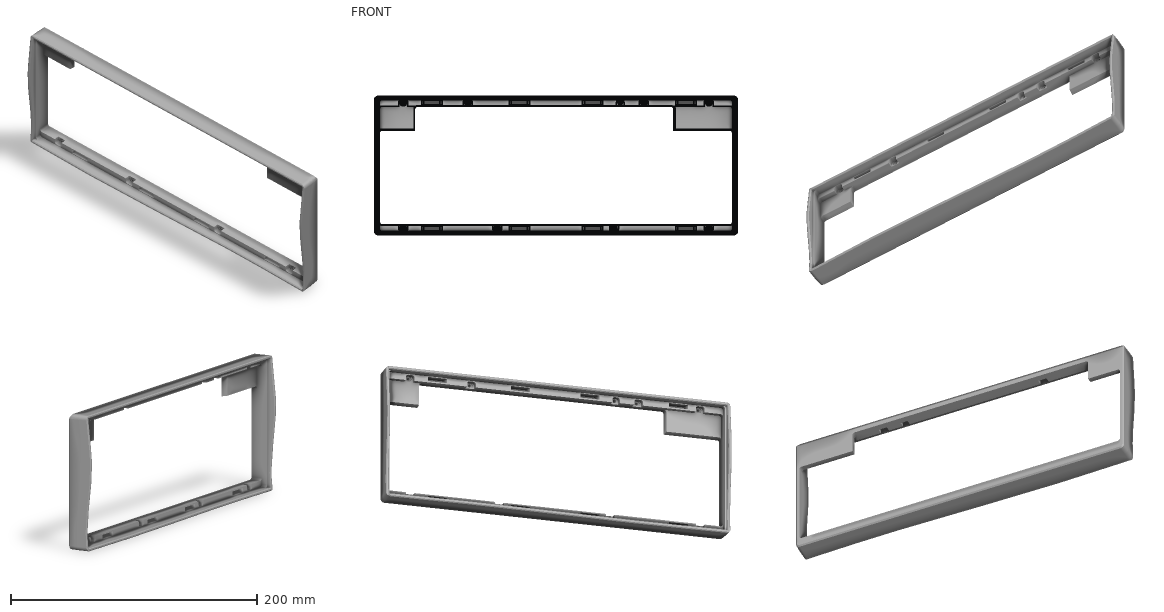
import cadquery as cq
import math

WIDTH = 294.7
HEIGHT = 112.3
DEPTH = 21.5
CORNER_RADIUS = 3.5
HALF_WIDTH = WIDTH / 2
MARGIN = 3.0

SIDE_WALL = 3.8
BAR_WALL = 2.7
FLANGE_DEPTH = 9.7
FLANGE_RISE = 5.3
OPENING_INSET = BAR_WALL + FLANGE_RISE
INNER_RADIUS = 2.0

LIP_START = 14.7
SIDE_LIP = 2.5

TOP_RIM_DEPTH = 17.7
RIM_MEAN_DEPTH = 18.42
RIM_WAVE = 1.2
SIDE_PEAK_Z = 70.7
SIDE_FLANK_DEPTH = 19.6
SIDE_UPPER_FLANK_Z = 93.7
SIDE_LOWER_FLANK_Z = 45.0
SIDE_DIP_Z = 20.5
SIDE_DIP_DEPTH = 17.5
SIDE_FOOT_DEPTH = RIM_MEAN_DEPTH
RIM_BEVEL = 0.75

DRAFT = 0.5
DRAFT_TOP_DEPTH = 9.5
DRAFT_PEAK_DEPTH = 12.0
DRAFT_PEAK_Z = 75.1
DRAFT_LOWER_DEPTH = 9.5
DRAFT_LOWER_Z = 38.3
DRAFT_FOOT_DEPTH = 8.5

BACK_BEVEL = 1.03
TOP_BEVEL_DEPTH = 2.7
TOP_BEVEL_DROP = 4.0

PLATE_THICKNESS = 5.3
PLATE_BOTTOM_Z = 85.0
LEFT_PLATE_END_X = -115.0
RIGHT_PLATE_END_X = 95.8
PLATE_DRAFT = 1.0
PLATE_FILLET = 2.0

POCKET_XS = (-100.8, -29.8, 29.8, 105.5)
POCKET_LENGTH = 16.5
POCKET_FLOOR_LENGTH = 13.0
POCKET_HEIGHT = 3.5
POCKET_DEPTH = 6.8
POCKET_OFFSET = 0.5

TOP_WIDE_NOTCH_XS = (-124.0, -71.5, 71.3, 124.0)
TOP_NARROW_NOTCH_XS = (52.2,)
BOTTOM_WIDE_NOTCH_XS = (-124.0, -47.7, 47.2, 124.0)
WIDE_NOTCH = 7.5
NARROW_NOTCH = 6.2
NOTCH_DEPTH = FLANGE_DEPTH - PLATE_THICKNESS
NOTCH_OFFSET = 0.5
NOTCH_CORNER = 2.0
SCREW_DIAMETER = 3.0
SCREW_SEAT_DIAMETER = 4.7
SCREW_SEAT_DEPTH = 1.0
SCREW_HOLE_DEPTH = 3.5
SCREW_HOLE_TAPER = 20.0
SCREW_CENTER_INSET = 5.3


def block(x_range, depth_range, z_range):
    """Box between two X values, two depths measured from the back, and two Z values."""
    size_x = x_range[1] - x_range[0]
    size_y = depth_range[1] - depth_range[0]
    size_z = z_range[1] - z_range[0]
    corner = (x_range[0], -depth_range[1], z_range[0])
    return cq.Workplane("XY").box(size_x, size_y, size_z, centered=False).translate(corner)


def inner_block(side_inset, bar_inset, depth_range):
    """Block inset from the outer frame outline, with rounded inner corners."""
    half = HALF_WIDTH - side_inset
    body = block((-half, half), depth_range, (bar_inset, HEIGHT - bar_inset))
    return body.edges("|Y").fillet(INNER_RADIUS)


def frame_shell():
    """Drafted outer frame, hollowed by the opening, the interior and the lip step."""
    outer = block((-HALF_WIDTH, HALF_WIDTH), (0, DEPTH), (0, HEIGHT))
    draft = side_draft()
    outer = outer.cut(draft).cut(draft.mirror("YZ"))
    outer = outer.faces(">Z or <Z").edges("not |X").fillet(CORNER_RADIUS)
    outer = outer.faces(">Y").edges("not >Z").chamfer(BACK_BEVEL)
    opening = inner_block(SIDE_WALL, OPENING_INSET, (-MARGIN, DEPTH))
    interior = inner_block(SIDE_WALL, BAR_WALL, (FLANGE_DEPTH, DEPTH))
    lip_x = HALF_WIDTH - SIDE_LIP
    lip_step = block((-lip_x, lip_x), (LIP_START, DEPTH), (BAR_WALL, HEIGHT - BAR_WALL))
    return outer.cut(opening).cut(interior).cut(lip_step)


def top_bevel():
    """Wedge removed along the top back edge."""
    return (
        cq.Workplane("YZ", origin=(-HALF_WIDTH, 0, 0))
        .moveTo(-TOP_BEVEL_DEPTH, HEIGHT)
        .lineTo(0, HEIGHT - TOP_BEVEL_DROP)
        .lineTo(MARGIN, HEIGHT - TOP_BEVEL_DROP)
        .lineTo(MARGIN, HEIGHT + MARGIN)
        .lineTo(-TOP_BEVEL_DEPTH, HEIGHT + MARGIN)
        .close()
        .extrude(WIDTH)
    )


def side_outline(x, setback):
    """Region in front of a side rim at one X, with the rim moved back by the setback."""
    rim = [
        (-SIDE_FLANK_DEPTH, SIDE_UPPER_FLANK_Z),
        (-DEPTH, SIDE_PEAK_Z),
        (-SIDE_FLANK_DEPTH, SIDE_LOWER_FLANK_Z),
        (-SIDE_DIP_DEPTH, SIDE_DIP_Z),
        (-SIDE_FOOT_DEPTH, 0),
    ]
    front = -DEPTH - MARGIN
    return (
        cq.Workplane("YZ", origin=(x, 0, 0))
        .moveTo(front, HEIGHT)
        .lineTo(-TOP_RIM_DEPTH + setback, HEIGHT)
        .spline(
            [(y + setback, z) for y, z in rim],
            tangents=[None, None, (0, -1), None, None, None],
            includeCurrent=True,
        )
        .lineTo(front, 0)
        .close()
        .val()
    )


def bottom_outline(z, setback):
    """Region in front of the bottom rim at one Z: one full wave along X."""
    half = HALF_WIDTH - SIDE_LIP
    front = -DEPTH - MARGIN

    def rim(t):
        x = half * (2 * t - 1)
        return (x, -RIM_MEAN_DEPTH + RIM_WAVE * math.sin(2 * math.pi * x / WIDTH) + setback)

    return (
        cq.Workplane("XY", origin=(0, 0, z))
        .parametricCurve(rim, N=24, makeWire=False)
        .moveTo(*rim(1))
        .lineTo(half, front)
        .lineTo(-half, front)
        .lineTo(*rim(0))
        .wire()
        .val()
    )


def top_outline(z, setback):
    """Region in front of the straight top rim at one Z."""
    half = HALF_WIDTH - SIDE_LIP
    center_y = (setback - TOP_RIM_DEPTH - DEPTH - MARGIN) / 2
    length_y = DEPTH + MARGIN - TOP_RIM_DEPTH + setback
    return cq.Workplane("XY", origin=(0, center_y, z)).rect(2 * half, length_y).wires().val()


def rim_trim(outline, start, thickness):
    """Space in front of a rim, bevelling both edges of a rim of the given thickness."""
    stations = (
        (start, RIM_BEVEL),
        (start + RIM_BEVEL, 0),
        (start + thickness - RIM_BEVEL, 0),
        (start + thickness, RIM_BEVEL),
    )
    sections = [outline(place, setback) for place, setback in stations]
    return cq.Workplane(cq.Solid.makeLoft(sections, True))


def side_draft():
    """Sliver outside the drafted part of the +X side face."""
    bowed_line = [
        (-DRAFT_PEAK_DEPTH, DRAFT_PEAK_Z),
        (-DRAFT_LOWER_DEPTH, DRAFT_LOWER_Z),
        (-DRAFT_FOOT_DEPTH, 0),
    ]
    return (
        cq.Workplane("YZ", origin=(HALF_WIDTH - DRAFT, 0, 0))
        .moveTo(MARGIN, HEIGHT)
        .lineTo(0, HEIGHT)
        .lineTo(0, 0)
        .lineTo(MARGIN, 0)
        .close()
        .workplane(offset=DRAFT)
        .moveTo(MARGIN, HEIGHT)
        .lineTo(-DRAFT_TOP_DEPTH, HEIGHT)
        .spline(bowed_line, includeCurrent=True)
        .lineTo(MARGIN, 0)
        .close()
        .loft(ruled=True)
    )


def corner_plate(x_range, left_draft):
    """Plate in an upper corner, with a drafted lower edge and an optional drafted left edge."""
    length = x_range[1] - x_range[0]
    rise = HEIGHT - OPENING_INSET - PLATE_BOTTOM_Z
    plate = cq.Workplane("XY").wedge(
        length, PLATE_THICKNESS, rise, left_draft, PLATE_DRAFT, length, rise, centered=False
    )
    return plate.mirror("XZ").translate((x_range[0], 0, PLATE_BOTTOM_Z))


def fillet_plate_root(body, x, z):
    """Round the inside corner where a plate meets the frame near one X and Z."""
    reach = 2 * PLATE_DRAFT
    near_root = cq.selectors.BoxSelector(
        (x - reach, -PLATE_THICKNESS, z - reach),
        (x + reach, 0, z + reach),
    )
    return body.edges(near_root).edges("not(#Y)").fillet(PLATE_FILLET)


def latch_pocket(x):
    """Pocket in the bottom flange whose ends slope together towards its floor."""
    front = -FLANGE_DEPTH
    floor = front + POCKET_DEPTH
    half_mouth = POCKET_LENGTH / 2
    half_floor = POCKET_FLOOR_LENGTH / 2
    outline = [
        (x - half_mouth, front),
        (x + half_mouth, front),
        (x + half_floor, floor),
        (x - half_floor, floor),
    ]
    base = cq.Workplane("XY", origin=(0, 0, BAR_WALL + POCKET_OFFSET))
    return base.polyline(outline).close().extrude(POCKET_HEIGHT)


def screw_bore(x, diameter, start_depth, length, taper):
    """Round bore running towards the back, narrowing by the taper angle."""
    base = cq.Workplane("XZ", origin=(x, -start_depth, SCREW_CENTER_INSET))
    return base.circle(diameter / 2).extrude(-length, taper=taper)


def screw_notch(x, width, has_seat):
    """Notch in the bottom flange, open to the opening, with a screw hole in its floor."""
    notch_floor = FLANGE_DEPTH - NOTCH_DEPTH
    notch = block(
        (x - width / 2, x + width / 2),
        (notch_floor, FLANGE_DEPTH),
        (BAR_WALL + NOTCH_OFFSET, OPENING_INSET + MARGIN),
    )
    notch = notch.edges("|Y and <Z").fillet(NOTCH_CORNER)
    notch = notch.union(screw_bore(x, SCREW_DIAMETER, notch_floor, SCREW_HOLE_DEPTH, SCREW_HOLE_TAPER))
    if has_seat:
        notch = notch.union(screw_bore(x, SCREW_SEAT_DIAMETER, notch_floor, SCREW_SEAT_DEPTH, 0))
    return notch


def to_top(cutter):
    """Mirror a bottom flange cutter to the top flange."""
    return cutter.mirror("XY", (0, 0, HEIGHT / 2))


result = frame_shell().cut(top_bevel())

for rim_start_x in (-HALF_WIDTH, HALF_WIDTH - SIDE_LIP):
    result = result.cut(rim_trim(side_outline, rim_start_x, SIDE_LIP))
result = result.cut(rim_trim(bottom_outline, 0, BAR_WALL))
result = result.cut(rim_trim(top_outline, HEIGHT - BAR_WALL, BAR_WALL))

wall_x = HALF_WIDTH - SIDE_WALL
result = result.union(corner_plate((-wall_x, LEFT_PLATE_END_X), 0))
result = result.union(corner_plate((RIGHT_PLATE_END_X, wall_x), PLATE_DRAFT))

opening_top_z = HEIGHT - OPENING_INSET
plate_roots = (
    (LEFT_PLATE_END_X, opening_top_z),
    (RIGHT_PLATE_END_X, opening_top_z),
    (-wall_x, PLATE_BOTTOM_Z),
    (wall_x, PLATE_BOTTOM_Z),
)
for root_x, root_z in plate_roots:
    result = fillet_plate_root(result, root_x, root_z)

for pocket_x in POCKET_XS:
    pocket = latch_pocket(pocket_x)
    result = result.cut(pocket).cut(to_top(pocket))

for notch_x in BOTTOM_WIDE_NOTCH_XS:
    result = result.cut(screw_notch(notch_x, WIDE_NOTCH, True))
for notch_x in TOP_WIDE_NOTCH_XS:
    result = result.cut(to_top(screw_notch(notch_x, WIDE_NOTCH, True)))
for notch_x in TOP_NARROW_NOTCH_XS:
    result = result.cut(to_top(screw_notch(notch_x, NARROW_NOTCH, False)))